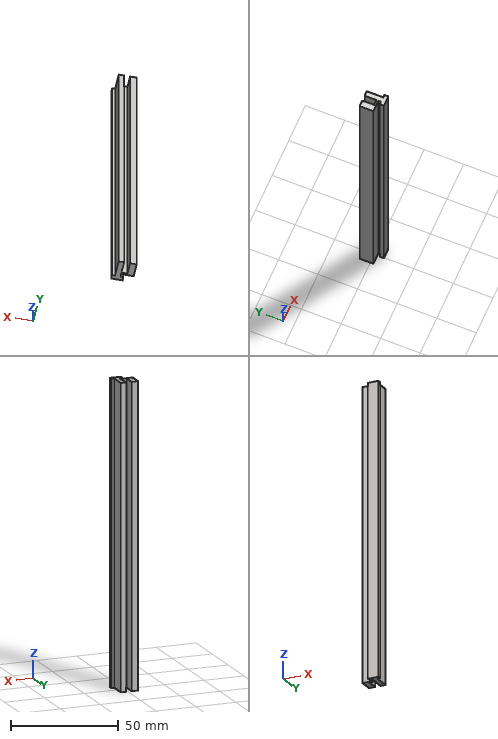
import cadquery as cq

depth = 10.4
length = 150.0

leg_width = 3.2
slot_width = 2.8
stem_width = 2.6
leg_depth = 7.0
web_thickness = 1.0
flange_overhang = 1.4
flange_thickness = 2.1
width = leg_width + slot_width + stem_width + flange_overhang

left = -width / 2
back = depth / 2
front = -depth / 2
slot_left = left + leg_width
stem_left = slot_left + slot_width
stem_right = stem_left + stem_width
flange_left = stem_left - flange_overhang
flange_right = stem_right + flange_overhang
leg_front = back - leg_depth
slot_floor = leg_front + web_thickness
flange_back = front + flange_thickness


def profile_block(x_min, x_max, y_min, y_max):
    """Full-length bar filling one rectangle of the cross-section."""
    corner = (x_min, y_min, -length / 2)
    block = cq.Workplane("XY").box(x_max - x_min, y_max - y_min, length, centered=False)
    return block.translate(corner)


leg = profile_block(left, slot_left, leg_front, back)
web = profile_block(left, stem_right, leg_front, slot_floor)
stem = profile_block(stem_left, stem_right, front, back)
flange = profile_block(flange_left, flange_right, front, flange_back)

result = leg.union(web).union(stem).union(flange).clean()